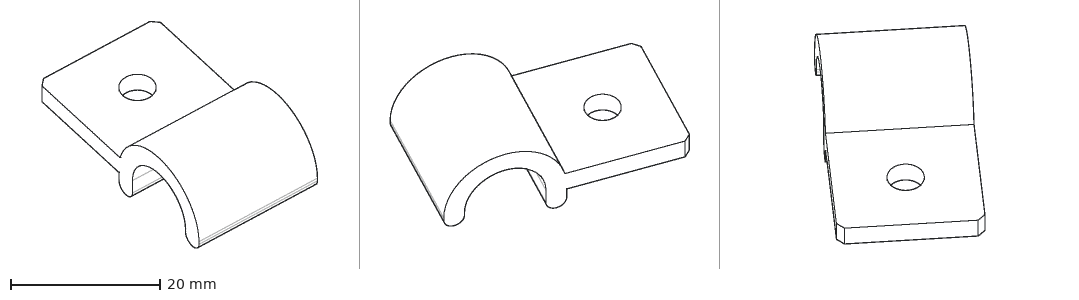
import cadquery as cq
import math

width = 20.0
thickness = 3.0
bore_radius = 5.84
plate_length = 18.0
plate_bottom_z = -0.84
long_leg_drop = 3.0
short_leg_straight = 0.5
hole_diameter = 5.0
hole_from_end = 9.0
corner_chamfer = 1.0

outer_radius = bore_radius + thickness
tip_radius = thickness / 2
plate_top_z = plate_bottom_z + thickness
plate_end_x = -outer_radius - plate_length
long_tip_z = plate_bottom_z - long_leg_drop
long_leg_end_z = long_tip_z + tip_radius
short_leg_end_z = -short_leg_straight
short_tip_z = short_leg_end_z - tip_radius
leg_center_x = bore_radius + tip_radius
junction_x = -math.sqrt(outer_radius**2 - plate_top_z**2)


def make_clip_body():
    """Plate, half-round saddle and both round-ended legs as one extruded profile."""
    profile = (
        cq.Workplane("XZ", origin=(0, width / 2, 0))
        .moveTo(plate_end_x, plate_bottom_z)
        .lineTo(plate_end_x, plate_top_z)
        .lineTo(junction_x, plate_top_z)
        .threePointArc((0, outer_radius), (outer_radius, 0))
        .lineTo(outer_radius, short_leg_end_z)
        .threePointArc((leg_center_x, short_tip_z), (bore_radius, short_leg_end_z))
        .lineTo(bore_radius, 0)
        .threePointArc((0, bore_radius), (-bore_radius, 0))
        .lineTo(-bore_radius, long_leg_end_z)
        .threePointArc((-leg_center_x, long_tip_z), (-outer_radius, long_leg_end_z))
        .lineTo(-outer_radius, plate_bottom_z)
        .close()
    )
    return profile.extrude(width)


def chamfer_plate_corners(body):
    """Bevel the two vertical corners at the free end of the plate."""
    return body.faces("<X").edges("|Z").chamfer(corner_chamfer)


def make_screw_hole():
    """Cylinder that pierces the plate on its centre line."""
    hole_x = plate_end_x + hole_from_end
    return (
        cq.Workplane("XY", origin=(hole_x, 0, plate_bottom_z))
        .circle(hole_diameter / 2)
        .extrude(thickness)
    )


result = chamfer_plate_corners(make_clip_body()).cut(make_screw_hole())